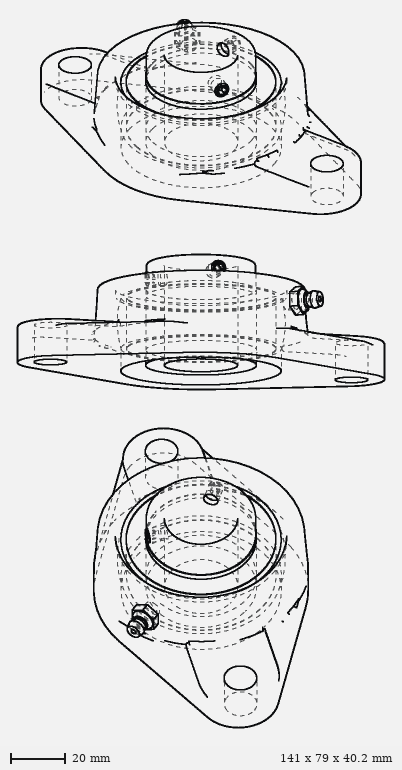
import cadquery as cq
import math


overall_length = 141.0
hub_base_radius = 39.5
hub_top_radius = 38.1
housing_height = 31.0
web_height = 12.0
pad_height = 13.9
edge_fillet = 1.0
lug_radius = 15.0
lug_center = overall_length / 2 - lug_radius
bolt_hole_diameter = 12.0
bolt_hole_center = 117.0 / 2
hub_draft_start = 11.6
hub_top_fillet = 0.9
hub_root_fillet = 1.0
mouth_radius = 63.02 / 2
mouth_top_fillet = 1.0
mouth_floor_fillet = 0.7

bearing_center = 18.0
outer_ring_sphere_radius = 31.0
outer_ring_width = 19.0
ring_half_width = outer_ring_width / 2
outer_ring_end_radius = math.sqrt(outer_ring_sphere_radius**2 - ring_half_width**2)
seal_outer_radius = 55.12 / 2
mouth_floor = bearing_center + ring_half_width
seal_rim_step = 0.3
seal_crown = 0.6
collar_radius = 40.26 / 2
shoulder_radius = 40.79 / 2
shaft_bore_radius = 26.99 / 2
inner_ring_top = 40.2
inner_ring_width = 38.1
inner_ring_bottom = inner_ring_top - inner_ring_width
shoulder_top = 30.3
collar_fillet = 1.2
bore_fillet = 1.0

screw_diameter = 5.36
screw_length = 5.0
screw_outer_end = 20.7
screw_height = inner_ring_top - 5.0
screw_angles = (-30.0, 90.0)
screw_end_chamfer = 0.5
socket_across_flats = 3.0
socket_depth = 3.0

nipple_angle = 135.0
nipple_height = 23.1
shank_radius = 3.0
shank_start = 35.0
hex_across_flats = 9.2
hex_start = 38.75
hex_end = 41.95
flare_large_radius = 4.25
flare_small_radius = 2.95
flare_end = 43.5
nipple_neck_radius = 5.0 / 2
nipple_neck_end = 44.4
head_start = 45.0
head_start_radius = 2.75
head_widest = 46.45
head_widest_radius = 3.25
tip_radius = 2.68
tip_station = 48.8
ball_radius = 2.0 / 2
ball_station = 48.1


def radial_plane(angle, height):
    """Plane on the bearing axis whose normal points outward at the given angle, with local y up."""
    outward = cq.Vector(math.cos(math.radians(angle)), math.sin(math.radians(angle)), 0)
    across = cq.Vector(0, 0, 1).cross(outward)
    return cq.Plane(origin=(0, 0, height), xDir=across, normal=outward)


def radial_cylinder(plane, start, end, radius):
    return cq.Workplane(plane).workplane(offset=start).circle(radius).extrude(end - start)




def wing_outline(inset=0.0):
    """Outline of the +X wing: the lug arc and its common tangents with the hub, cut off inside the hub."""
    hub = hub_base_radius - inset
    lug = lug_radius - inset
    sine = (hub - lug) / lug_center
    cosine = math.sqrt(1 - sine**2)
    lug_x = lug_center + lug * sine
    lug_y = lug * cosine
    return (
        cq.Workplane("XY")
        .moveTo(hub * sine, hub * cosine)
        .lineTo(lug_x, lug_y)
        .threePointArc((lug_center + lug, 0), (lug_x, -lug_y))
        .lineTo(hub * sine, -hub * cosine)
        .close()
    )


def on_both_sides(wing):
    return [wing, wing.rotate((0, 0, 0), (0, 0, 1), 180)]


def pad_blank():
    """Raised pad through both lugs, as wide as the lug arcs."""
    return cq.Workplane("XY").slot2D(overall_length, 2 * lug_radius).extrude(pad_height)


def hub_radius_at(height):
    rise = (height - hub_draft_start) / (housing_height - hub_draft_start)
    return hub_base_radius + (hub_top_radius - hub_base_radius) * rise


def hub_blank():
    return (
        cq.Workplane("XZ")
        .lineTo(hub_base_radius, 0)
        .lineTo(hub_base_radius, hub_draft_start)
        .lineTo(hub_top_radius, housing_height)
        .lineTo(0, housing_height)
        .close()
        .revolve()
        .faces(">Z")
        .edges()
        .fillet(hub_top_fillet)
    )


def root_fillet_ring(floor):
    """Concave fillet between the hub and a flat at the given height."""
    top = floor + hub_root_fillet
    start = hub_radius_at(top)
    outer = start + hub_root_fillet
    sag = hub_root_fillet * (1 - math.sqrt(0.5))
    inner = mouth_radius + (hub_top_radius - mouth_radius) / 2
    return (
        cq.Workplane("XZ")
        .moveTo(inner, floor)
        .lineTo(outer, floor)
        .threePointArc((start + sag, floor + sag), (start, top))
        .lineTo(inner, top)
        .close()
        .revolve()
    )


def outer_ring_blank():
    """Spherical outer ring without its bore; also the shape of the housing seat."""
    bottom = bearing_center - ring_half_width
    return (
        cq.Workplane("XZ")
        .moveTo(0, bottom)
        .lineTo(outer_ring_end_radius, bottom)
        .threePointArc((outer_ring_sphere_radius, bearing_center), (outer_ring_end_radius, mouth_floor))
        .lineTo(0, mouth_floor)
        .close()
        .revolve()
    )


def mouth_cutter():
    """Open recess above the bearing, rounded at its rim and at its floor."""
    rim_radius = mouth_radius + mouth_top_fillet
    rim_start = housing_height - mouth_top_fillet
    rim_sag = mouth_top_fillet * (1 - math.sqrt(0.5))
    floor_radius = mouth_radius - mouth_floor_fillet
    floor_end = mouth_floor + mouth_floor_fillet
    floor_sag = mouth_floor_fillet * (1 - math.sqrt(0.5))
    return (
        cq.Workplane("XZ")
        .moveTo(0, mouth_floor)
        .lineTo(floor_radius, mouth_floor)
        .threePointArc((mouth_radius - floor_sag, mouth_floor + floor_sag), (mouth_radius, floor_end))
        .lineTo(mouth_radius, rim_start)
        .threePointArc((mouth_radius + rim_sag, housing_height - rim_sag), (rim_radius, housing_height))
        .lineTo(0, housing_height)
        .close()
        .revolve()
    )


def make_housing():
    wing = wing_outline().extrude(web_height).faces(">Z").edges("not <X").fillet(edge_fillet)
    wing_flat = wing_outline(edge_fillet).extrude(housing_height)
    wing_root = root_fillet_ring(web_height).intersect(wing_flat)

    pad = pad_blank().faces(">Z").edges().fillet(edge_fillet)
    pad_flat_width = 2 * (lug_radius - edge_fillet)
    pad_flat = cq.Workplane("XY").rect(2 * lug_center, pad_flat_width).extrude(housing_height)
    pad_root = root_fillet_ring(pad_height).intersect(pad_flat)

    flange = pad.union(pad_root)
    for piece in on_both_sides(wing) + on_both_sides(wing_root):
        flange = flange.union(piece)

    body = hub_blank().union(flange)
    body = body.cut(mouth_cutter())
    body = body.cut(outer_ring_blank())
    body = body.cut(cq.Workplane("XY").circle(outer_ring_end_radius).extrude(bearing_center))
    bolt_holes = (
        cq.Workplane("XY")
        .pushPoints([(-bolt_hole_center, 0), (bolt_hole_center, 0)])
        .circle(bolt_hole_diameter / 2)
        .extrude(pad_height)
    )
    nipple_seat = make_nipple_base()
    return body.cut(bolt_holes).cut(nipple_seat)




def make_outer_ring():
    bore = cq.Workplane("XY").circle(seal_outer_radius).extrude(housing_height)
    return outer_ring_blank().cut(bore)


def make_seal():
    """Ring filling the space between the bearing rings, with slightly conical end faces."""
    rim = ring_half_width + seal_rim_step
    crown = ring_half_width + seal_crown
    return (
        cq.Workplane("XZ", origin=(0, 0, bearing_center))
        .moveTo(shoulder_radius, -crown)
        .lineTo(seal_outer_radius, -rim)
        .lineTo(seal_outer_radius, rim)
        .lineTo(shoulder_radius, crown)
        .close()
        .revolve(360, (0, 0), (0, 1))
    )


def make_inner_ring():
    ring = (
        cq.Workplane("XZ")
        .moveTo(shaft_bore_radius, inner_ring_bottom)
        .lineTo(shoulder_radius, inner_ring_bottom)
        .lineTo(shoulder_radius, shoulder_top)
        .lineTo(collar_radius, shoulder_top)
        .lineTo(collar_radius, inner_ring_top)
        .lineTo(shaft_bore_radius, inner_ring_top)
        .close()
        .revolve(360, (0, 0), (0, 1))
    )
    ring = ring.faces(">Z").edges(cq.selectors.RadiusNthSelector(0)).fillet(bore_fillet)
    ring = ring.faces(">Z").edges(cq.selectors.RadiusNthSelector(-1)).fillet(collar_fillet)
    for angle in screw_angles:
        plane = radial_plane(angle, screw_height)
        ring = ring.cut(radial_cylinder(plane, 0, screw_outer_end, screw_diameter / 2))
    return ring




def make_set_screw(angle):
    plane = radial_plane(angle, screw_height)
    screw = radial_cylinder(plane, screw_outer_end - screw_length, screw_outer_end, screw_diameter / 2)
    screw = screw.edges(cq.selectors.DirectionMinMaxSelector(plane.zDir)).chamfer(screw_end_chamfer)
    socket = (
        cq.Workplane(plane)
        .workplane(offset=screw_outer_end - socket_depth)
        .polygon(6, socket_across_flats / math.cos(math.pi / 6))
        .extrude(socket_depth)
    )
    return screw.cut(socket)



nipple_plane = radial_plane(nipple_angle, nipple_height)


def nipple_point(distance):
    """Point on the nipple axis at the given distance from the bearing axis."""
    return nipple_plane.toWorldCoords((0, 0, distance))


def make_ball():
    return cq.Workplane("XY").sphere(ball_radius).translate(nipple_point(ball_station))


def make_nipple_base():
    """Hexagon and shank of the nipple; the housing has a matching seat for them."""
    hexagon = (
        cq.Workplane(nipple_plane)
        .workplane(offset=hex_start)
        .transformed(rotate=(0, 0, 90))
        .polygon(6, hex_across_flats / math.cos(math.pi / 6))
        .extrude(hex_end - hex_start)
    )
    return hexagon.union(radial_cylinder(nipple_plane, shank_start, hex_start, shank_radius))


def make_nipple():
    profile_plane = cq.Plane(
        origin=nipple_plane.origin, xDir=nipple_plane.xDir, normal=nipple_plane.yDir.multiply(-1)
    )
    turned = (
        cq.Workplane(profile_plane)
        .moveTo(0, hex_start)
        .lineTo(flare_large_radius, hex_start)
        .lineTo(flare_large_radius, hex_end)
        .lineTo(flare_small_radius, flare_end)
        .lineTo(nipple_neck_radius, flare_end)
        .lineTo(nipple_neck_radius, nipple_neck_end)
        .lineTo(head_start_radius, head_start)
        .lineTo(head_widest_radius, head_widest)
        .lineTo(tip_radius, tip_station)
        .lineTo(0, tip_station)
        .close()
        .revolve(360, (0, 0), (0, 1))
    )
    ball_seat = radial_cylinder(nipple_plane, ball_station, tip_station, ball_radius)
    return turned.union(make_nipple_base()).cut(ball_seat).cut(make_ball())



housing = make_housing()
outer_ring = make_outer_ring()
inner_ring = make_inner_ring()
seal = make_seal()
set_screws = [make_set_screw(angle) for angle in screw_angles]
nipple = make_nipple()
ball = make_ball()

result = cq.Compound.makeCompound(
    [
        housing.val(),
        outer_ring.val(),
        inner_ring.val(),
        seal.val(),
        *[screw.val() for screw in set_screws],
        nipple.val(),
        ball.val(),
    ]
)